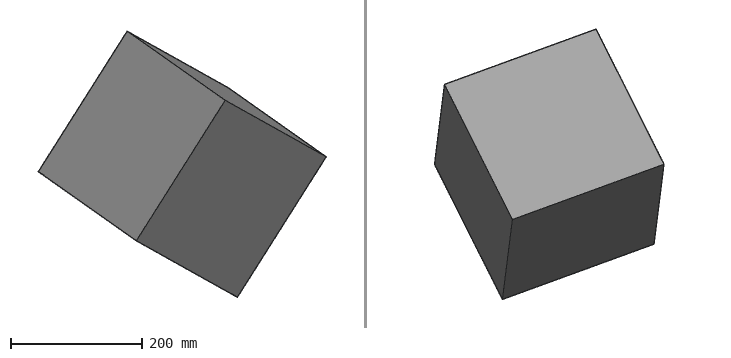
import cadquery as cq

side = 254.0

roll = -51.0
pitch = -13.0
yaw = -25.0

origin = (0, 0, 0)

result = (
    cq.Workplane("XY")
    .box(side, side, side)
    .rotate(origin, (1, 0, 0), roll)
    .rotate(origin, (0, 1, 0), pitch)
    .rotate(origin, (0, 0, 1), yaw)
)